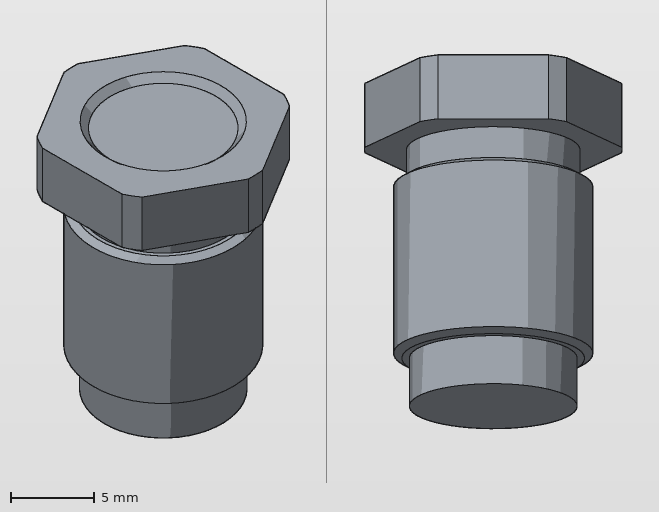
import cadquery as cq

tip_length = 3
body_length = 11
neck_length = 2
head_height = 4
total_length = tip_length + body_length + neck_length + head_height

tip_diameter = 10.1
body_diameter = 12
neck_diameter = 10.45

bevel_depth = 0.5
bevel_height = 0.3

across_flats = 14
corner_diameter = 15.5

recess_top_diameter = 10
recess_floor_diameter = 9
recess_depth = 0.5


def make_shank():
    """Tip, bevelled body and neck, revolved about Z from one half profile."""
    body_top = tip_length + body_length
    head_bottom = body_top + neck_length
    tip_radius = tip_diameter / 2
    body_radius = body_diameter / 2
    neck_radius = neck_diameter / 2
    bevel_radius = body_radius - bevel_depth
    profile = [
        (0, 0),
        (tip_radius, 0),
        (tip_radius, tip_length),
        (bevel_radius, tip_length),
        (body_radius, tip_length + bevel_height),
        (body_radius, body_top - bevel_height),
        (bevel_radius, body_top),
        (neck_radius, body_top),
        (neck_radius, head_bottom),
        (0, head_bottom),
    ]
    return cq.Workplane("XZ").polyline(profile).close().revolve(360, (0, 0), (0, 1))


def make_head():
    """Hexagonal prism whose corners are rounded by a concentric cylinder."""
    base = cq.Workplane("XY").workplane(offset=total_length - head_height)
    hexagon = base.polygon(6, across_flats, circumscribed=True).extrude(head_height)
    hexagon = hexagon.rotate((0, 0, 0), (0, 0, 1), 90)
    corner_cylinder = base.circle(corner_diameter / 2).extrude(head_height)
    return hexagon.intersect(corner_cylinder)


def make_recess():
    """Tapered round cutter that sinks into the top of the head."""
    return (
        cq.Workplane("XY")
        .workplane(offset=total_length - recess_depth)
        .circle(recess_floor_diameter / 2)
        .workplane(offset=recess_depth)
        .circle(recess_top_diameter / 2)
        .loft(ruled=True)
    )


result = make_shank().union(make_head()).cut(make_recess())